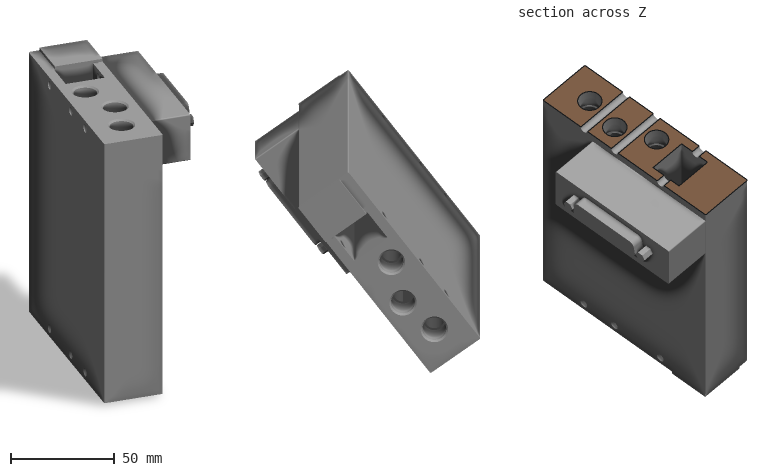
import cadquery as cq
import math

BLOCK_WIDTH = 106.6
BLOCK_DEPTH = 30.0
BLOCK_HEIGHT = 139.0
BLOCK_EDGE_RADIUS = 0.5
BLOCK_TOP = BLOCK_HEIGHT / 2

OVERALL_HEIGHT = 142.0
PAD_RIGHT = 22.0
PAD_INSET = 0.1
PAD_FRONT = 5.5
PAD_THICKNESS = (OVERALL_HEIGHT - BLOCK_HEIGHT) / 2

WINDOW_WIDTH = 16.8
WINDOW_WALL = 5.0

PORT_SPACING = 20.0
PORT_STAGGER = 4.0
MIDDLE_PORT_X = 69.6
PORT_CENTRES = [
    (MIDDLE_PORT_X - PORT_SPACING, BLOCK_DEPTH / 2 - PORT_STAGGER),
    (MIDDLE_PORT_X, BLOCK_DEPTH / 2 + PORT_STAGGER),
    (MIDDLE_PORT_X + PORT_SPACING, BLOCK_DEPTH / 2),
]
PORT_DIAMETER = 11.5
PORT_DEPTH = 14.2
PORT_CHAMFER = 0.9
BORE_DIAMETER = 9.5
MIDDLE_BORE_FLATS = 7.8

CROSS_HOLE_DIAMETER = 4.3
CROSS_HOLE_INSET = 4.1
CROSS_HOLE_X = [29.5, 59.5, 79.5]

HOUSING_WIDTH = 74.0
HOUSING_DEPTH = 26.0
HOUSING_HEIGHT = 24.5
HOUSING_TOP_DROP = 8.7
HOUSING_EDGE_RADIUS = 0.5
HOUSING_BACK = BLOCK_DEPTH + HOUSING_DEPTH
HOUSING_CENTRE_X = HOUSING_WIDTH / 2
HOUSING_CENTRE_Z = BLOCK_TOP - HOUSING_TOP_DROP - HOUSING_HEIGHT / 2

PLUG_LENGTH = 5.8
PLUG_HEIGHT = 9.5
PLUG_TOP_WIDTH = 38.0
PLUG_SIDE_SLOPE = 10.0
PLUG_CORNER_RADIUS = 2.8
PLUG_RISE = 3.7
POST_ACROSS_FLATS = 5.0
POST_SPACING = 47.1
POST_RISE = 2.1


def box(x, y, z, width, depth, height):
    """Box whose lower left front corner lies at (x, y, z)."""
    return cq.Workplane("XY").box(width, depth, height, centered=False).translate((x, y, z))


def back_plane(x, y, z):
    """Sketch plane facing +Y; its local x runs along -X and its local y along +Z."""
    return cq.Workplane(cq.Plane(origin=(x, y, z), xDir=(-1, 0, 0), normal=(0, 1, 0)))


def make_block():
    block = box(0, 0, -BLOCK_TOP, BLOCK_WIDTH, BLOCK_DEPTH, BLOCK_HEIGHT)
    return block.edges("|Z").fillet(BLOCK_EDGE_RADIUS)


def make_pad(bottom):
    depth = BLOCK_DEPTH - PAD_FRONT
    return box(PAD_INSET, PAD_FRONT, bottom, PAD_RIGHT - PAD_INSET, depth, PAD_THICKNESS)


def make_window():
    depth = BLOCK_DEPTH - 2 * WINDOW_WALL
    return box(PAD_RIGHT, WINDOW_WALL, -BLOCK_TOP, WINDOW_WIDTH, depth, BLOCK_HEIGHT)


def make_port(x, y):
    """Bore with a wider chamfered mouth at each end, as a solid to cut away."""
    bore_radius = BORE_DIAMETER / 2
    mouth_radius = PORT_DIAMETER / 2
    rim_radius = mouth_radius + PORT_CHAMFER
    shoulder = BLOCK_TOP - PORT_DEPTH
    upper_half = (
        cq.Workplane("XZ")
        .moveTo(0, 0)
        .lineTo(bore_radius, 0)
        .lineTo(bore_radius, shoulder)
        .lineTo(mouth_radius, shoulder)
        .lineTo(mouth_radius, BLOCK_TOP - PORT_CHAMFER)
        .lineTo(rim_radius, BLOCK_TOP)
        .lineTo(0, BLOCK_TOP)
        .close()
        .revolve(360, (0, 0, 0), (0, 1, 0))
    )
    return upper_half.union(upper_half.mirror("XY")).translate((x, y, 0))


def make_port_flats(x, y):
    """Two ribs that narrow a bore to its width across flats."""
    rib_height = BLOCK_HEIGHT - 2 * PORT_DEPTH
    cylinder = cq.Workplane("XY").cylinder(rib_height, BORE_DIAMETER / 2)
    passage = cq.Workplane("XY").box(MIDDLE_BORE_FLATS, BORE_DIAMETER, rib_height)
    return cylinder.cut(passage).translate((x, y, 0))


def make_cross_holes():
    hole_z = BLOCK_TOP - CROSS_HOLE_INSET
    centres = [(x, z) for x in CROSS_HOLE_X for z in (-hole_z, hole_z)]
    return cq.Workplane("XZ").pushPoints(centres).circle(CROSS_HOLE_DIAMETER / 2).extrude(-BLOCK_DEPTH)


def make_housing():
    bottom = HOUSING_CENTRE_Z - HOUSING_HEIGHT / 2
    housing = box(0, BLOCK_DEPTH, bottom, HOUSING_WIDTH, HOUSING_DEPTH, HOUSING_HEIGHT)
    return housing.edges("|Y").fillet(HOUSING_EDGE_RADIUS)


def make_plug():
    top = PLUG_HEIGHT / 2
    top_half_width = PLUG_TOP_WIDTH / 2
    bottom_half_width = top_half_width + PLUG_HEIGHT * math.tan(math.radians(PLUG_SIDE_SLOPE))
    return (
        back_plane(HOUSING_CENTRE_X, HOUSING_BACK, HOUSING_CENTRE_Z + PLUG_RISE)
        .polyline([
            (-top_half_width, top),
            (top_half_width, top),
            (bottom_half_width, -top),
            (-bottom_half_width, -top),
        ])
        .close()
        .extrude(PLUG_LENGTH)
        .edges("|Y")
        .fillet(PLUG_CORNER_RADIUS)
    )


def make_posts():
    across_corners = POST_ACROSS_FLATS / math.cos(math.radians(30))
    return (
        back_plane(HOUSING_CENTRE_X, HOUSING_BACK, HOUSING_CENTRE_Z + POST_RISE)
        .pushPoints([(-POST_SPACING / 2, 0), (POST_SPACING / 2, 0)])
        .polygon(6, across_corners)
        .extrude(PLUG_LENGTH)
    )


result = make_block().cut(make_window())
for port_x, port_y in PORT_CENTRES:
    result = result.cut(make_port(port_x, port_y))
result = result.union(make_port_flats(*PORT_CENTRES[1]))
result = result.cut(make_cross_holes())
for pad_bottom in (BLOCK_TOP, -BLOCK_TOP - PAD_THICKNESS):
    result = result.union(make_pad(pad_bottom))
result = result.union(make_housing()).union(make_plug()).union(make_posts())